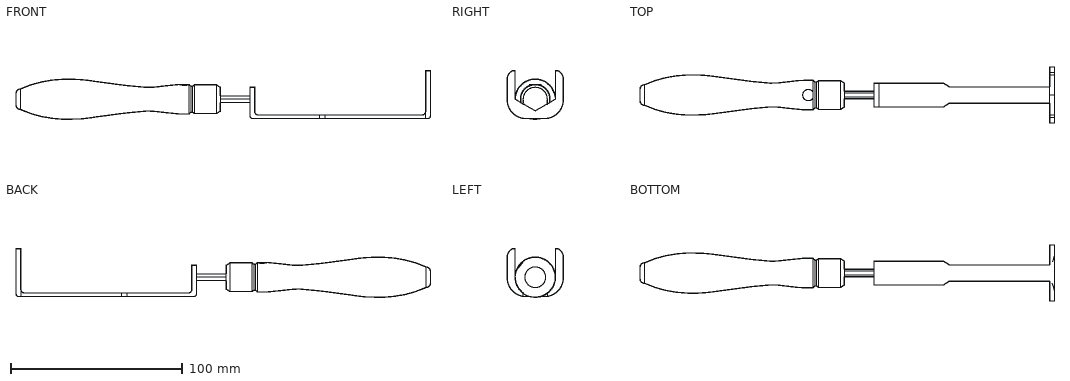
import cadquery as cq
import math

total_length = 242.0
overlap = 1.2

handle_length = 119.3
butt_flat_radius = 3.5
butt_radius = 6.0
butt_length = butt_radius - butt_flat_radius
shoulder_x, shoulder_radius = 12.8, 9.7
belly_x, belly_radius = 30.5, 11.9
taper_x, taper_radius = 41.9, 11.1
neck_x, neck_radius = 65.3, 8.0
waist_x, waist_radius = 78.6, 7.0
bead_x, bead_length, bead_radius = 97.3, 3.6, 8.7
groove_x, groove_width, groove_diameter = 102.1, 1.0, 15.2
ferrule_x, ferrule_diameter = 104.3, 17.0
ferrule_chamfer_length, ferrule_chamfer_depth = 2.2, 1.5

button_diameter = 6.5
button_x = 98.3
button_top = 8.7

rod_across_flats = 3.9
plate_thickness = 3.0
arm_thickness = 2.2
arm_bottom = -11.4
bend_inner_radius = 2.2
bend_outer_radius = 1.7
plate_x = 136.5
plate_width = 14.0
arm_narrow_width = 9.7
step_start_x, step_end_x = 177.1, 180.5

fork_width = 33.0
fork_top = 16.7
fork_gap = 23.5
fork_notch_z = 0.0
fork_corner_radius = 11.1
tip_radius = 5.5
tip_width = 1.5


def make_grip_and_ferrule():
    ferrule_radius = ferrule_diameter / 2
    groove_radius = groove_diameter / 2
    bead_end = bead_x + bead_length
    groove_end = groove_x + groove_width
    bulge = math.sqrt(0.5)
    taper_direction = (neck_x - taper_x, neck_radius - taper_radius)
    bead_direction = (1, 0)
    butt_middle = (
        butt_length * (1 - bulge),
        butt_flat_radius + butt_length * bulge,
    )
    profile = (
        cq.Workplane("XY")
        .lineTo(0, butt_flat_radius)
        .threePointArc(butt_middle, (butt_length, butt_radius))
        .spline(
            [(shoulder_x, shoulder_radius), (belly_x, belly_radius), (taper_x, taper_radius)],
            includeCurrent=True,
        )
        .lineTo(neck_x, neck_radius)
        .spline(
            [(waist_x, waist_radius), (bead_x, bead_radius)],
            tangents=[taper_direction, bead_direction],
            includeCurrent=True,
        )
        .lineTo(bead_end, bead_radius)
        .lineTo(groove_x, groove_radius)
        .lineTo(groove_end, groove_radius)
        .lineTo(ferrule_x, ferrule_radius)
        .lineTo(handle_length - ferrule_chamfer_length, ferrule_radius)
        .lineTo(handle_length, ferrule_radius - ferrule_chamfer_depth)
        .lineTo(handle_length, 0)
        .close()
    )
    return profile.revolve(360, (0, 0, 0), (1, 0, 0))


def make_button():
    """Round button, cut off flush with the end of the bead."""
    radius = button_diameter / 2
    bead_end = bead_x + bead_length
    button = cq.Workplane("XY").center(button_x, 0).circle(radius).extrude(button_top)
    beyond_bead = (
        cq.Workplane("XY")
        .box(button_diameter, button_diameter, button_top, centered=(False, True, False))
        .translate((bead_end, 0, 0))
    )
    return button.cut(beyond_bead)


def make_strip_side():
    """Side outline of the bent strip, as wide as the fork."""
    fork_x = total_length - plate_thickness
    arm_top = arm_bottom + arm_thickness
    strip = (
        cq.Workplane("XZ")
        .moveTo(plate_x, arm_bottom)
        .lineTo(total_length, arm_bottom)
        .lineTo(total_length, fork_top)
        .lineTo(fork_x, fork_top)
        .lineTo(fork_x, arm_top)
        .lineTo(plate_x + plate_thickness, arm_top)
        .lineTo(plate_x + plate_thickness, plate_width / 2)
        .lineTo(plate_x, plate_width / 2)
        .close()
        .extrude(fork_width / 2, both=True)
    )
    inner_corners = cq.selectors.BoxSelector(
        (plate_x + plate_thickness / 2, -fork_width, arm_top - arm_thickness / 2),
        (total_length - plate_thickness / 2, fork_width, arm_top + arm_thickness / 2),
    )
    strip = strip.edges("|Y").edges(inner_corners).fillet(bend_inner_radius)
    return strip.faces("<Z").edges("|Y").fillet(bend_outer_radius)


def make_arm_outline():
    """Region of the strip seen from above, between the plate and the fork."""
    wide = plate_width / 2
    narrow = arm_narrow_width / 2
    height = fork_top - arm_bottom
    return (
        cq.Workplane("XY", origin=(0, 0, arm_bottom))
        .moveTo(plate_x, -wide)
        .lineTo(step_start_x, -wide)
        .lineTo(step_end_x, -narrow)
        .lineTo(total_length - plate_thickness, -narrow)
        .lineTo(total_length - plate_thickness, narrow)
        .lineTo(step_end_x, narrow)
        .lineTo(step_start_x, wide)
        .lineTo(plate_x, wide)
        .close()
        .extrude(height)
    )


def make_plate_rounding():
    """Corners removed from the upright plate to leave a half-round top."""
    radius = plate_width / 2
    plate_cut = cq.Workplane("YZ", origin=(plate_x, 0, 0))
    block = plate_cut.center(0, radius / 2).rect(plate_width, radius).extrude(plate_thickness)
    disc = plate_cut.circle(radius).extrude(plate_thickness)
    return block.cut(disc)


def make_fork_outline():
    half_width = fork_width / 2
    half_gap = fork_gap / 2
    notch_bottom = fork_notch_z - half_gap * math.tan(math.radians(30))
    tip_y = half_gap + tip_width
    tip_drop = math.sqrt(tip_radius**2 - (tip_radius - (half_width - tip_y))**2)
    tip_base = fork_top - tip_drop
    corner_top = arm_bottom + fork_corner_radius
    bottom_y = half_width - fork_corner_radius
    return (
        cq.Workplane("YZ", origin=(total_length - plate_thickness, 0, 0))
        .moveTo(0, notch_bottom)
        .lineTo(half_gap, fork_notch_z)
        .lineTo(half_gap, fork_top)
        .lineTo(tip_y, fork_top)
        .radiusArc((half_width, tip_base), tip_radius)
        .lineTo(half_width, corner_top)
        .radiusArc((bottom_y, arm_bottom), fork_corner_radius)
        .lineTo(-bottom_y, arm_bottom)
        .radiusArc((-half_width, corner_top), fork_corner_radius)
        .lineTo(-half_width, tip_base)
        .radiusArc((-tip_y, fork_top), tip_radius)
        .lineTo(-half_gap, fork_top)
        .lineTo(-half_gap, fork_notch_z)
        .close()
        .extrude(plate_thickness)
    )


def make_rod():
    """Hexagonal rod with corners at +Y and -Y, from handle to plate."""
    across_corners = rod_across_flats / math.cos(math.radians(30))
    length = plate_x + overlap - handle_length
    return cq.Workplane("YZ", origin=(handle_length, 0, 0)).polygon(6, across_corners).extrude(length)


def make_handle():
    return make_grip_and_ferrule().union(make_button())


def make_tool():
    outline = make_arm_outline().cut(make_plate_rounding()).union(make_fork_outline())
    return make_strip_side().intersect(outline).union(make_rod())


handle = make_handle()
tool = make_tool()

result = cq.Compound.makeCompound([handle.val(), tool.val()])